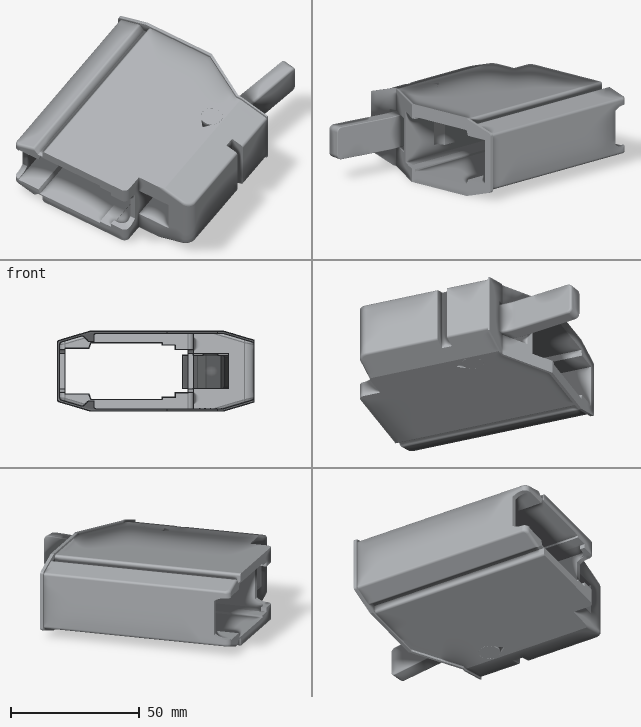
import cadquery as cq
import math

BODY_WIDTH = 75.5
BODY_HALF_HEIGHT = 14.7
SIDE_HALF_HEIGHT = 11.1
SHOULDER_ANGLE = 16.5
SHOULDER_SLOPE = math.tan(math.radians(SHOULDER_ANGLE))
SHOULDER_RUN = (BODY_HALF_HEIGHT - SIDE_HALF_HEIGHT) / SHOULDER_SLOPE

GROOVE_FLOOR = 11.6
GROOVE_LEFT = 11.2
GROOVE_RIGHT = 13.3
GROOVE_LIP_RADIUS = 1
RIDGE_X = (GROOVE_FLOOR + GROOVE_LEFT - SIDE_HALF_HEIGHT) / (1 + SHOULDER_SLOPE)
RIDGE_HEIGHT = SIDE_HALF_HEIGHT + RIDGE_X * SHOULDER_SLOPE
EDGE_RADIUS = 1.1

BACK_Y = 77.2
BACK_SLOPE_X = 41.6
SHOULDER_BACK_X = 62.0
SHOULDER_BACK_Y = 64.8
STEP_X = 51.9
STEP_Y = 9.1
STEP_CORNER_RADIUS = 3.8
WALL = 2.1
FRONT_CORNER_RADIUS = 2.1

FLANGE_OVERHANG = 0.9
FLANGE_HALF_HEIGHT = 15.5
FLANGE_THICKNESS = 1.3
FLANGE_RIGHT_THICKNESS = 0.7

INNER_WALL_X = STEP_X - WALL
LIP_LEFT = 44.8
LIP_BLEND_RADIUS = 3.4
CAVITY_STEPS = [
    (39.7, 10.1),
    (LIP_LEFT, 10.3),
]
CAVITY_LEFT_HALF = 8.8
CAVITY_MAIN_HALF = 11.0
CAVITY_RAMP_START = 11.4
CAVITY_RAMP_END = 12.1

NOTCH_HALF_FRONT = 8.4
NOTCH_HALF_BACK = 6.9
NOTCH_DEPTH = 6.3

CHAMBER_WIDTH = 13.6
CHAMBER_HALF_HEIGHT = 6.8
SLOT_LEFT = 70.5
SLOT_Y = 42.9
SLOT_WIDTH = 4.0

PIVOT_X = 58.6
PIVOT_Y = 50.8
HEAD_DIAMETER = 8.4
HEAD_RECESS_DIAMETER = 8.5
HEAD_THICKNESS = 2.9
SHAFT_DIAMETER = 5.7
SHAFT_HOLE_DIAMETER = 6.0
POINTER_HALF_WIDTH = 2.3
POINTER_BASE = 3.7
POINTER_TIP = 6.7

LEVER_BOTTOM = -CHAMBER_HALF_HEIGHT
LEVER_HEIGHT = 13.0
ARM_WINDOW_FRONT = 44.7
ARM_WINDOW_BACK = 56.3
HANDLE_LEFT = 57.7
HANDLE_RIGHT = 63.9
LEFT_BEND_Y = 71.1
RIGHT_BEND_Y = 69.2
BEND_RADIUS = 14.6
HANDLE_TILT = math.radians(10)
HANDLE_TIP_Y = 97.15
TIP_WIDTH = 6.0
TIP_EDGE_RADIUS = 1.9
HANDLE_RIGHT_RADIUS = 0.9
HANDLE_LEFT_RADIUS = 0.3


def mirrored(upper):
    """Closed point list: an upper outline from left to right, then its mirror image below."""
    return upper + [(x, -z) for x, z in reversed(upper)]


def along_y(points, y_start, y_end):
    """Prism of an X-Z outline between two Y positions."""
    return cq.Workplane("XZ", origin=(0, y_start, 0)).polyline(points).close().extrude(y_start - y_end)


def upright(points, half_height):
    """Prism of an X-Y outline, centred on the middle plane."""
    return cq.Workplane("XY").polyline(points).close().extrude(half_height, both=True)


def box(x_range, y_range, half_height):
    (x0, x1), (y0, y1) = x_range, y_range
    return upright([(x0, y0), (x1, y0), (x1, y1), (x0, y1)], half_height)


def edge_at(x, y, tolerance=0.01):
    """Selector for the upright edge at a place in plan."""
    far = BACK_Y
    return cq.selectors.BoxSelector(
        (x - tolerance, y - tolerance, -far), (x + tolerance, y + tolerance, far), boundingbox=True
    )


def long_edge_at(x, z, tolerance=0.01):
    """Selector for the front-to-back edge at a place in the section."""
    return cq.selectors.BoxSelector(
        (x - tolerance, -BACK_Y, z - tolerance), (x + tolerance, 2 * BACK_Y, z + tolerance), boundingbox=True
    )


def make_shell():
    """Solid outer shape of the housing with the two grooves and rounded shoulders."""
    section = mirrored([
        (0, SIDE_HALF_HEIGHT),
        (RIDGE_X, RIDGE_HEIGHT),
        (GROOVE_LEFT, GROOVE_FLOOR),
        (GROOVE_RIGHT, GROOVE_FLOOR),
        (GROOVE_RIGHT, BODY_HALF_HEIGHT),
        (BODY_WIDTH - SHOULDER_RUN, BODY_HALF_HEIGHT),
        (BODY_WIDTH, SIDE_HALF_HEIGHT),
    ])
    plan = [
        (0, 0),
        (STEP_X, 0),
        (STEP_X, STEP_Y),
        (BODY_WIDTH, STEP_Y),
        (BODY_WIDTH, SHOULDER_BACK_Y),
        (SHOULDER_BACK_X, SHOULDER_BACK_Y),
        (BACK_SLOPE_X, BACK_Y),
        (0, BACK_Y),
    ]
    blank = upright(plan, BODY_HALF_HEIGHT)
    blank = blank.edges(edge_at(0, 0)).fillet(FRONT_CORNER_RADIUS)
    blank = blank.edges(edge_at(STEP_X, 0)).fillet(FRONT_CORNER_RADIUS)
    blank = blank.edges(edge_at(BODY_WIDTH, STEP_Y)).fillet(STEP_CORNER_RADIUS)
    shell = along_y(section, 0, BACK_Y).intersect(blank)

    for side in (1, -1):
        left_edges = long_edge_at(0, side * SIDE_HALF_HEIGHT) + long_edge_at(RIDGE_X, side * RIDGE_HEIGHT)
        right_edges = long_edge_at(BODY_WIDTH, side * SIDE_HALF_HEIGHT)
        shell = shell.edges(left_edges).fillet(EDGE_RADIUS).edges(right_edges).fillet(EDGE_RADIUS)
        shell = shell.edges(long_edge_at(GROOVE_RIGHT, side * BODY_HALF_HEIGHT)).fillet(GROOVE_LIP_RADIUS)
    return shell


def make_flange():
    """Rim that follows the back edge and stands out from the left, top and bottom faces."""
    rise = FLANGE_OVERHANG / math.cos(math.radians(SHOULDER_ANGLE))
    half_height = FLANGE_HALF_HEIGHT
    left_corner = SIDE_HALF_HEIGHT + rise - FLANGE_OVERHANG * SHOULDER_SLOPE
    right_corner = SIDE_HALF_HEIGHT + rise
    section = mirrored([
        (-FLANGE_OVERHANG, left_corner),
        ((half_height - right_corner) / SHOULDER_SLOPE, half_height),
        (BODY_WIDTH - (half_height - right_corner) / SHOULDER_SLOPE, half_height),
        (BODY_WIDTH, right_corner),
    ])
    solid = along_y(section, SHOULDER_BACK_Y - STEP_Y, BACK_Y)
    for side in (1, -1):
        solid = solid.edges(long_edge_at(-FLANGE_OVERHANG, side * left_corner)).fillet(EDGE_RADIUS)
    band = [
        (-FLANGE_OVERHANG, BACK_Y),
        (BACK_SLOPE_X, BACK_Y),
        (SHOULDER_BACK_X, SHOULDER_BACK_Y),
        (BODY_WIDTH, SHOULDER_BACK_Y),
        (BODY_WIDTH, SHOULDER_BACK_Y - FLANGE_RIGHT_THICKNESS),
        (SHOULDER_BACK_X - FLANGE_RIGHT_THICKNESS, SHOULDER_BACK_Y - FLANGE_RIGHT_THICKNESS),
        (BACK_SLOPE_X, BACK_Y - FLANGE_THICKNESS),
        (-FLANGE_OVERHANG, BACK_Y - FLANGE_THICKNESS),
    ]
    return solid.intersect(upright(band, half_height))


def make_cavity():
    """Cutter for the cavity, leaving the front ledges standing."""
    upper = [
        (WALL, CAVITY_LEFT_HALF),
        (CAVITY_RAMP_START, CAVITY_LEFT_HALF),
        (CAVITY_RAMP_END, CAVITY_MAIN_HALF),
    ]
    half = CAVITY_MAIN_HALF
    for x, next_half in CAVITY_STEPS:
        upper += [(x, half), (x, next_half)]
        half = next_half
    upper.append((INNER_WALL_X, half))
    return along_y(mirrored(upper), 0, BACK_Y).cut(make_front_lip())


def make_front_lip():
    """Ledges across the front of the cavity's right end, above and below, blending into the inner wall."""
    lip = (
        cq.Workplane("XY")
        .moveTo(LIP_LEFT, 0)
        .lineTo(LIP_LEFT, WALL)
        .lineTo(INNER_WALL_X - LIP_BLEND_RADIUS, WALL)
        .tangentArcPoint((INNER_WALL_X, WALL + LIP_BLEND_RADIUS), relative=False)
        .lineTo(INNER_WALL_X, 0)
        .close()
        .extrude(CAVITY_MAIN_HALF, both=True)
    )
    gap = box((LIP_LEFT, INNER_WALL_X), (0, WALL + LIP_BLEND_RADIUS), NOTCH_HALF_FRONT)
    return lip.cut(gap)


def make_wall_notches():
    """Cutter with bowed flanks, running across both walls."""
    return (
        cq.Workplane("YZ", origin=(-FLANGE_OVERHANG, 0, 0))
        .moveTo(0, -NOTCH_HALF_FRONT)
        .lineTo(FRONT_CORNER_RADIUS, -NOTCH_HALF_FRONT)
        .tangentArcPoint((NOTCH_DEPTH, -NOTCH_HALF_BACK), relative=False)
        .lineTo(NOTCH_DEPTH, NOTCH_HALF_BACK)
        .threePointArc(notch_arc_middle(), (FRONT_CORNER_RADIUS, NOTCH_HALF_FRONT))
        .lineTo(0, NOTCH_HALF_FRONT)
        .close()
        .extrude(STEP_X + FLANGE_OVERHANG)
    )


def notch_arc_middle():
    """Middle point of a notch flank, an arc that starts along Y at the front."""
    run = NOTCH_DEPTH - FRONT_CORNER_RADIUS
    drop = NOTCH_HALF_FRONT - NOTCH_HALF_BACK
    radius = (run**2 + drop**2) / (2 * drop)
    half_sweep = math.asin(run / radius) / 2
    return (
        FRONT_CORNER_RADIUS + radius * math.sin(half_sweep),
        NOTCH_HALF_FRONT - radius * (1 - math.cos(half_sweep)),
    )


def make_pivot_recess(side):
    """Stepped hole for one pin, with the V-shaped opening in front of its head."""
    pointer = [
        (PIVOT_X - POINTER_HALF_WIDTH, PIVOT_Y - POINTER_BASE),
        (PIVOT_X, PIVOT_Y - POINTER_TIP),
        (PIVOT_X + POINTER_HALF_WIDTH, PIVOT_Y - POINTER_BASE),
    ]
    face = cq.Workplane("XY", origin=(0, 0, side * BODY_HALF_HEIGHT))
    pivot_face = face.center(PIVOT_X, PIVOT_Y)
    head = pivot_face.circle(HEAD_RECESS_DIAMETER / 2).extrude(-side * HEAD_THICKNESS)
    shaft = pivot_face.circle(SHAFT_HOLE_DIAMETER / 2).extrude(-side * BODY_HALF_HEIGHT)
    opening = cq.Workplane("XY", origin=(0, 0, side * BODY_HALF_HEIGHT)).polyline(pointer).close()
    return head.union(shaft).union(opening.extrude(-side * HEAD_THICKNESS))


def make_housing():
    housing = make_shell().union(make_flange()).cut(make_cavity()).cut(make_wall_notches())
    chamber = box((STEP_X, STEP_X + CHAMBER_WIDTH), (0, BACK_Y), CHAMBER_HALF_HEIGHT)
    arm_window = box((INNER_WALL_X, STEP_X), (ARM_WINDOW_FRONT, ARM_WINDOW_BACK), CHAMBER_HALF_HEIGHT)
    finger_slot = box((SLOT_LEFT, BODY_WIDTH), (SLOT_Y, SLOT_Y + SLOT_WIDTH), BODY_HALF_HEIGHT)
    housing = housing.cut(chamber).cut(arm_window).cut(finger_slot)
    for side in (1, -1):
        housing = housing.cut(make_pivot_recess(side))
    return housing


def make_lever():
    """Lever with an arm into the cavity, a hub on the pivot and a tilted handle behind the housing."""
    along_tip = (math.cos(HANDLE_TILT), -math.sin(HANDLE_TILT))
    rounding_loss = HANDLE_LEFT_RADIUS * (math.cos(HANDLE_TILT) + math.sin(HANDLE_TILT) - 1)
    tip_y = HANDLE_TIP_Y + rounding_loss
    tip_left = (HANDLE_LEFT + (tip_y - LEFT_BEND_Y) * math.tan(HANDLE_TILT), tip_y)
    tip_right = (tip_left[0] + TIP_WIDTH * along_tip[0], tip_left[1] + TIP_WIDTH * along_tip[1])
    left_bend = (HANDLE_LEFT, LEFT_BEND_Y)
    right_bend = (HANDLE_RIGHT, RIGHT_BEND_Y)
    outline = [
        (47.6, 52.5),
        (47.6, 46.9),
        (53.5, 46.5),
        (56.7, 46.2),
        (62.7, 47.1),
        (HANDLE_RIGHT, 50.0),
        right_bend,
        tip_right,
        tip_left,
        left_bend,
        (HANDLE_LEFT, 55.4),
    ]
    lever = cq.Workplane("XY", origin=(0, 0, LEVER_BOTTOM)).polyline(outline).close().extrude(LEVER_HEIGHT)
    for bend in (left_bend, right_bend):
        lever = lever.edges(edge_at(*bend)).fillet(BEND_RADIUS)
    lever = lever.faces(">Y").edges("not |Z").fillet(TIP_EDGE_RADIUS)
    lever = lever.edges(edge_at(*tip_right)).fillet(HANDLE_RIGHT_RADIUS)
    lever = lever.edges(edge_at(*tip_left)).fillet(HANDLE_LEFT_RADIUS)
    return lever.cut(
        cq.Workplane("XY", origin=(PIVOT_X, PIVOT_Y, LEVER_BOTTOM))
        .circle(SHAFT_HOLE_DIAMETER / 2)
        .extrude(LEVER_HEIGHT)
    )


def make_pin(side):
    """Headed pin whose shaft reaches the middle plane; side is 1 for the upper and -1 for the lower pin."""
    face = cq.Workplane("XY", origin=(PIVOT_X, PIVOT_Y, side * BODY_HALF_HEIGHT))
    head = face.circle(HEAD_DIAMETER / 2).extrude(-side * HEAD_THICKNESS)
    shaft = face.circle(SHAFT_DIAMETER / 2).extrude(-side * BODY_HALF_HEIGHT)
    return head.union(shaft)


housing = make_housing()
lever = make_lever()
pins = [make_pin(side) for side in (1, -1)]

result = cq.Compound.makeCompound([housing.val(), lever.val(), *[pin.val() for pin in pins]])